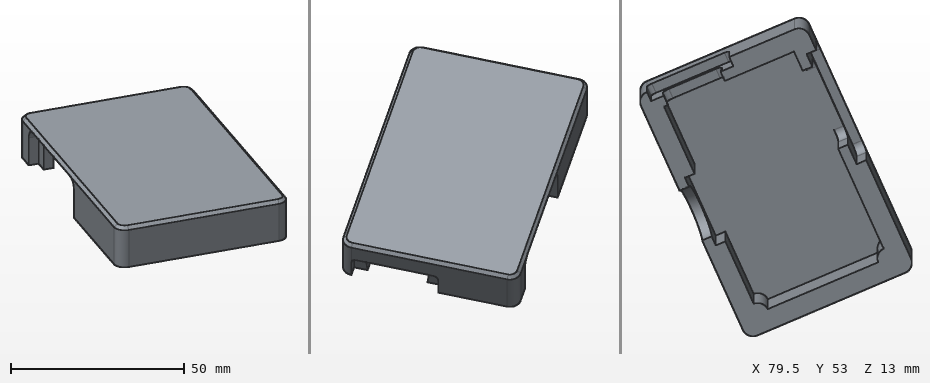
import cadquery as cq

length = 79.5
width = 53.0
height = 13.0
corner_radius = 3.25
top_chamfer = 1.0

layer = 3.0
wall = 2 * layer
ceiling = 11.0

front_recess_center = -13.6
front_recess_width = 35.9
front_opening_center = -14.7
front_opening_width = 25.45
front_radius = 3.0

left_center = 10.25
left_recess_width = 25.9
left_recess_height = 6.9
left_recess_radius = 1.5
connector_bottom_width = 17.8
connector_top_width = 19.2
connector_height = 5.25
connector_radius = 1.9

notch_center = -0.8
notch_radius = 8.1
thinned_width = 22.1

boss_radius = 3.25
boss_offset = 0.15

overcut = 0.8


def block(x_center, x_size, y_center, y_size, top):
    """Box that starts below the rim and ends at the height top."""
    return (
        cq.Workplane("XY", origin=(x_center, y_center, -overcut))
        .box(x_size, y_size, top + overcut, centered=(True, True, False))
    )


def outer_body():
    body = (
        cq.Workplane("XY")
        .box(length, width, height, centered=(True, True, False))
        .edges("|Z")
        .fillet(corner_radius)
    )
    return body.faces(">Z").edges().chamfer(top_chamfer)


def cavity():
    """Interior space, less a round boss in each corner on the +X side."""
    cavity_length = length - 2 * wall
    cavity_width = width - 2 * wall
    space = block(0, cavity_length, 0, cavity_width, ceiling)
    boss_x = cavity_length / 2 + boss_offset
    boss_y = cavity_width / 2 + boss_offset
    bosses = (
        cq.Workplane("XY")
        .pushPoints([(boss_x, boss_y), (boss_x, -boss_y)])
        .circle(boss_radius)
        .extrude(ceiling)
    )
    return space.cut(bosses)


def front_cut(center, opening_width, top, depth):
    """Arched opening running inward from the front face."""
    cut = block(center, opening_width, (depth - width) / 2, depth, top)
    return cut.edges("|Y and >Z").fillet(front_radius)


def left_recess():
    cut = block((layer - length) / 2, layer, left_center, left_recess_width, left_recess_height)
    return cut.edges("|X and >Z").fillet(left_recess_radius)


def connector_opening():
    bottom_half = connector_bottom_width / 2
    top_half = connector_top_width / 2
    profile = [
        (left_center - bottom_half, 0),
        (left_center + bottom_half, 0),
        (left_center + top_half, connector_height),
        (left_center - top_half, connector_height),
    ]
    cut = cq.Workplane("YZ", origin=(-length / 2, 0, 0)).polyline(profile).close().extrude(wall)
    return cut.edges("|X and >Z").fillet(connector_radius)


def back_notch():
    through_hole = (
        cq.Workplane("XZ", origin=(notch_center, width / 2, 0))
        .circle(notch_radius)
        .extrude(wall)
    )
    lip_y = (width - layer) / 2 - layer
    thinned_wall = block(notch_center, thinned_width, lip_y, layer, ceiling)
    return through_hole.union(thinned_wall)


result = (
    outer_body()
    .cut(cavity())
    .cut(front_cut(front_recess_center, front_recess_width, height - top_chamfer, layer))
    .cut(front_cut(front_opening_center, front_opening_width, ceiling, wall))
    .cut(left_recess())
    .cut(connector_opening())
    .cut(back_notch())
)